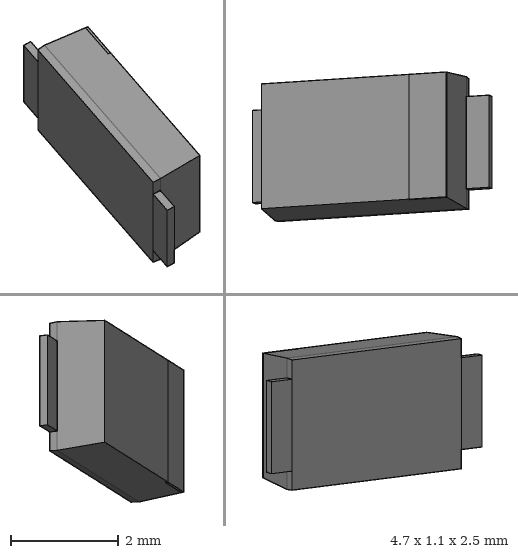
import cadquery as cq
import math

overall_length = 4.7
housing_depth = 1.1
housing_length = 3.798
housing_height = 2.5
draft_angle = 4.0

lead_thickness = 0.16
lead_height = 1.75

band_thickness = 0.05
band_length = 0.74

draft_slope = math.tan(math.radians(draft_angle))
parting_y = lead_thickness
lead_inner_x = housing_length / 2 - parting_y * draft_slope
lead_length = overall_length / 2 - lead_inner_x
marked_face_length = housing_length - 2 * (housing_depth - parting_y) * draft_slope
band_inner_x = -marked_face_length / 2 + band_length


def drafted_half(depth):
    """Half of the molding, narrowing from the parting plane; a negative depth goes toward -Y."""
    inset = abs(depth) * draft_slope
    return (
        cq.Workplane(cq.Plane((0, parting_y, 0), xDir=(1, 0, 0), normal=(0, 1, 0)))
        .rect(housing_length, housing_height)
        .workplane(offset=depth)
        .rect(housing_length - 2 * inset, housing_height - 2 * inset)
        .loft(ruled=True)
    )


def make_lead(side):
    """Lead at the -X end (side = -1) or the +X end (side = 1)."""
    center_x = side * (lead_inner_x + lead_length / 2)
    return (
        cq.Workplane("XY")
        .box(lead_length, lead_thickness, lead_height)
        .translate((center_x, lead_thickness / 2, 0))
    )


def make_band(molding):
    """Band across the -X end of the marked face, with its rim following the drafted walls."""
    slab_length = overall_length / 2 + band_inner_x
    slab = (
        cq.Workplane("XY")
        .box(slab_length, band_thickness, housing_height)
        .translate((band_inner_x - slab_length / 2, housing_depth - band_thickness / 2, 0))
    )
    return molding.intersect(slab)


def make_housing(molding, inserts):
    """Molding with a matching recess for each insert."""
    housing = molding
    for insert in inserts:
        housing = housing.cut(insert)
    return housing


molding = drafted_half(housing_depth - parting_y).union(drafted_half(-parting_y))
leads = [make_lead(side) for side in (-1, 1)]
band = make_band(molding)
housing = make_housing(molding, [*leads, band])

result = cq.Compound.makeCompound(
    [housing.solids().val(), band.solids().val(), *[lead.val() for lead in leads]]
)